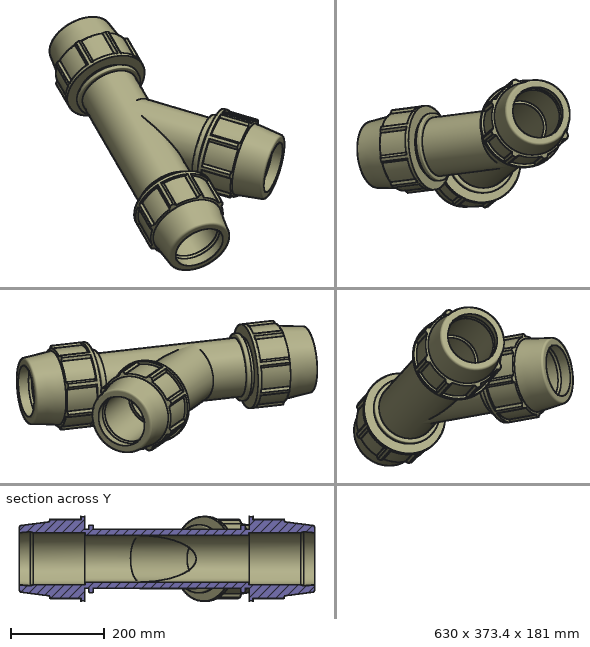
import cadquery as cq
import math

run_length = 630.0
branch_angle = 45.0
branch_offset = -57.5
branch_length = 331.0

pipe_radius = 126.5 / 2
bore_radius = 99.0 / 2

socket_radius = 110.0 / 2
flare_radius = 57.5
flare_depth = 23.0
flare_end = 29.5

nose_radius = 72.0
nose_rounding = 5.0
cone_base_radius = 79.5
nut_start = 63.5
nut_front_length = 4.0
flange_start = 131.5
flange_end = 140.0
flange_radius = 181.0 / 2

rib_count = 8
panel_radius = 84.5
rib_root_width = 16.5
rib_top_width = 7.5

collar_start = 148.0
collar_end = 158.0
collar_radius = 145.0 / 2
collar_rounding = 2.0


def fitting_shell():
    """Turned outside of one fitting: mouth at the origin, depth along +Z."""
    rounding_drop = nose_rounding * (1 - math.sqrt(0.5))
    profile = (
        cq.Workplane("XZ")
        .lineTo(nose_radius - nose_rounding, 0)
        .threePointArc((nose_radius - rounding_drop, rounding_drop), (nose_radius, nose_rounding))
        .lineTo(cone_base_radius, nut_start)
        .lineTo(flange_radius, nut_start + nut_front_length)
        .lineTo(flange_radius, flange_end)
        .lineTo(0, flange_end)
        .close()
    )
    return profile.revolve(360, (0, 0, 0), (0, 1, 0))


def grip_ribs():
    """Spokes from the nut axis whose outer ends are the tapered grip ribs."""
    half_root = rib_root_width / 2
    taper = (rib_root_width - rib_top_width) / 2 / (flange_radius - panel_radius)
    tip_radius = panel_radius + half_root / taper
    spoke = (
        cq.Workplane("XY")
        .workplane(offset=nut_start)
        .moveTo(0, -half_root)
        .lineTo(panel_radius, -half_root)
        .lineTo(tip_radius, 0)
        .lineTo(panel_radius, half_root)
        .lineTo(0, half_root)
        .close()
        .extrude(flange_start - nut_start)
    )
    rib_pitch = 360 / rib_count
    ribs = cq.Workplane("XY")
    for index in range(rib_count):
        ribs = ribs.union(spoke.rotate((0, 0, 0), (0, 0, 1), (index + 0.5) * rib_pitch))
    return ribs


def grip_panels():
    """Material to remove between the ribs, from the panel surface outward."""
    ring = (
        cq.Workplane("XY")
        .workplane(offset=nut_start)
        .circle(2 * flange_radius)
        .circle(panel_radius)
        .extrude(flange_start - nut_start)
    )
    return ring.cut(grip_ribs())


def stop_collar():
    """Narrow ring around the pipe with rounded rims."""
    return (
        cq.Workplane("XY")
        .workplane(offset=collar_start)
        .circle(collar_radius)
        .extrude(collar_end - collar_start)
        .edges()
        .fillet(collar_rounding)
    )


def arm(length):
    """Solid pipe arm with its nut: mouth at the origin, running to +Z."""
    body = cq.Workplane("XY").workplane(offset=nut_start).circle(pipe_radius).extrude(length - nut_start)
    nut = fitting_shell().cut(grip_panels())
    return body.union(nut).union(stop_collar())


def arm_bore(length):
    """Bore of an arm: pipe socket with a shallow flare, then the plain bore behind a shoulder."""
    profile = (
        cq.Workplane("XZ")
        .lineTo(socket_radius, 0)
        .lineTo(flare_radius, flare_depth)
        .lineTo(socket_radius, flare_end)
        .lineTo(socket_radius, flange_end)
        .lineTo(bore_radius, flange_end)
        .lineTo(bore_radius, length)
        .lineTo(0, length)
        .close()
    )
    return profile.revolve(360, (0, 0, 0), (0, 1, 0))


def place(shape, length, direction):
    """Point an arm outward from the axis crossing, at an angle from +X in the XY plane."""
    return (
        shape.translate((0, 0, -length))
        .rotate((0, 0, 0), (0, 1, 0), -90)
        .rotate((0, 0, 0), (0, 0, 1), direction)
        .translate((branch_offset, 0, 0))
    )


arms = [
    (run_length / 2 + branch_offset, 180),
    (run_length / 2 - branch_offset, 0),
    (branch_length, branch_angle),
]

outside = cq.Workplane("XY")
for arm_length, arm_direction in arms:
    outside = outside.union(place(arm(arm_length), arm_length, arm_direction))

result = outside
for arm_length, arm_direction in arms:
    result = result.cut(place(arm_bore(arm_length), arm_length, arm_direction))